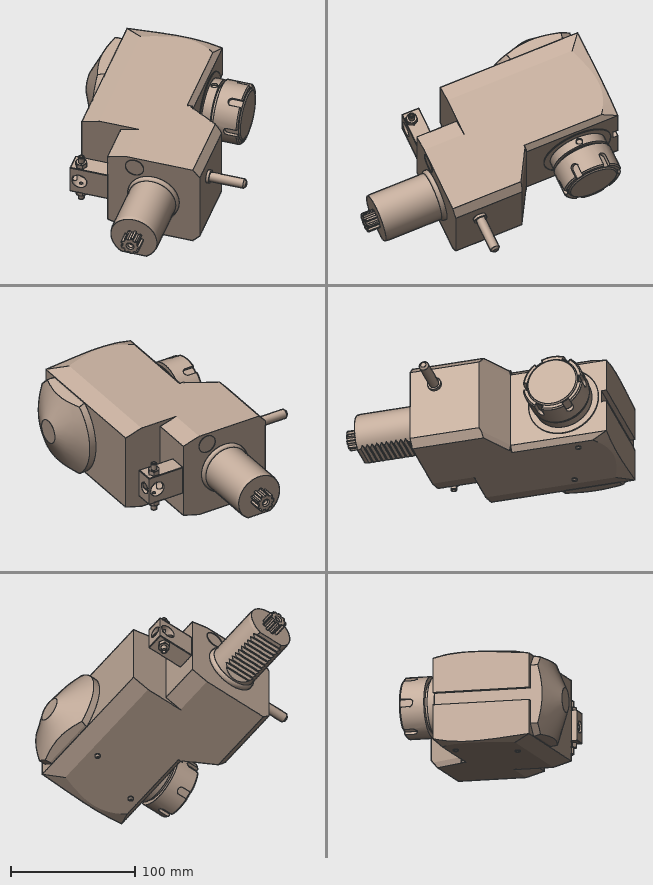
import cadquery as cq
import math


HALF_HEIGHT = 37.5
BACK_Y = 156.0
HEAD_LEFT = -71.8
HEAD_RIGHT = 8.8
BASE_HALF_WIDTH = 39.0
STEP_Y = 35.0
SLANT_START_Y = 58.0
SLANT_END_Y = 75.3
LEFT_BEVEL = (15.1, 4.4)
BASE_RIGHT_BEVEL = (6.0, 6.5)
HEAD_RIGHT_BEVEL = (4.2, 4.4)
SLANT_BEVEL = (1.3, 4.4)
BACK_SLOPE = 15
CROWN_X = -18.6
CROWN_DROP = 0.9
SHOULDER_DROP = 3.0
CORNER_DROP = 4.4
BACK_SLOT_HEIGHT = 10.0
BACK_SLOT_DEPTH = 4.2
SPINDLE_Y = 120.0

CAP_TIP_X = -92.0
CAP_RIM_X = -77.7
CAP_TIP_R = 10.0
CAP_R = 40.0
CAP_FLAT_Z = 32.6
CAP_FLAT_WIDTH = 1.8
CAP_FLAT_SLOPE = 0.2
CAP_CORNER = 8.3
CAP_CORNER_HEIGHT = 32.2

FLANGE_R = 29.3
FLANGE_X = 9.6
COLLAR_R = 24.0
COLLAR_X = 17.0
NECK_R = 21.0
NUT_START_X = 19.7
NUT_R = 25.0
NUT_FACE_X = 40.5
NUT_BREAK = 1.0
COLLET_END_X = 41.6
COLLET_R = 21.2
COLLET_BREAK = 1.0
NUT_SLOTS = 6
NUT_SLOT_WIDTH = 6.4
NUT_SLOT_START_X = 29.0
NUT_SLOT_DEPTH = 3.0
PIN_HOLE_R = 2.6
PIN_HOLE_X = 13.4
PIN_HOLE_DEPTH = 2.2

SHANK_R = 20.0
SHANK_LENGTH = 52.8
SHANK_COLLAR_R = 21.7
SHANK_COLLAR_LENGTH = 4.0
SHANK_COLLAR_RIM = 1.3
SHANK_END_BREAK = (0.5, 2.8)
RACK_Z = -16.5
RACK_RAMP_Y = -8.8
FIRST_GROOVE_Y = -11.5
LAST_GROOVE_Y = -47.7
GROOVE_COUNT = 10
GROOVE_DEPTH = 1.86

SPLINE_TIP_Y = -63.0
SPLINE_TEETH = 9
SPLINE_R = 8.0
SPLINE_ROOT_R = 6.4
TOOTH_TIP_SHARE = 0.3
TOOTH_ROOT_SHARE = 0.6
SPLINE_TIP_BREAK = 0.7
CENTRE_HOLE_R = 2.2
CENTRE_SINK_R = 3.3
CENTRE_HOLE_DEPTH = 4.4

PIN_Y = 20.8
PIN_Z = 15.8
PIN_R = 4.0
PIN_END_X = 71.6
PIN_TIP_BREAK = 1.8
PIN_SEAT_R = 5.5
PIN_SEAT_END_X = 41.5

BLOCK_LEFT = -71.0
BLOCK_FRONT_Y = 0.9
BLOCK_BACK_Y = 15.8
BLOCK_HALF_HEIGHT = 12.5
BLOCK_BREAK = 0.5
PORT_X = -63.0
FRONT_PORT_R = 6.4
FRONT_PORT_DEPTH = 12.7
SIDE_PORT_R = 4.8
SIDE_PORT_Y = 7.7
SIDE_PORT_DEPTH = 26.3
CHANNEL_R = 1.0
SCREW_Y = 6.1
SCREW_R = 2.5
SCREW_HALF_LENGTH = 22.1
SCREW_BREAK = 0.7
SCREW_BORE_R = 1.3
HEX_ACROSS_FLATS = 8.3
HEX_HEIGHT = 4.0
HEX_TURN = 30
HEX_BREAK = 0.7

PLUG_X = -16.2
PLUG_Z = 27.4
PLUG_R = 7.7
PLUG_RECESS = 0.5
NIPPLES = ((-49.5, 111.7), (-2.6, 129.0))
NIPPLE_R = 2.2
NIPPLE_BASE_HEIGHT = 0.9
NIPPLE_TIP_R = 0.7
NIPPLE_HEIGHT = 1.8


def both_sides(solid):
    """The solid together with its mirror image below z = 0."""
    return solid.union(solid.mirror("XY"))


def x_cylinder(radius, x_start, x_end, y, z):
    return (
        cq.Workplane("YZ", origin=(x_start, y, z)).circle(radius).extrude(x_end - x_start)
    )


def edge_bevel(face_x, inward, bevel, y_start, y_end):
    """Wedges removing the upper and lower long edges of a side face; inward is +1 or -1 in X."""
    width, drop = bevel
    wedge = (
        cq.Workplane("XZ", origin=(0, y_start, 0))
        .moveTo(face_x, HALF_HEIGHT)
        .lineTo(face_x + inward * width, HALF_HEIGHT)
        .lineTo(face_x, HALF_HEIGHT - drop)
        .close()
        .extrude(y_start - y_end)
    )
    return both_sides(wedge)


def slant_bevel():
    """Narrow wedges along the upper and lower edges of the slanted shoulder."""
    run_x = BASE_HALF_WIDTH - HEAD_RIGHT
    run_y = SLANT_START_Y - SLANT_END_Y
    length = math.hypot(run_x, run_y)
    width, drop = SLANT_BEVEL
    across = cq.Plane(
        origin=(HEAD_RIGHT, SLANT_END_Y, 0),
        xDir=(run_y, -run_x, 0),
        normal=(run_x, run_y, 0),
    )
    wedge = (
        cq.Workplane(across)
        .moveTo(0, HALF_HEIGHT)
        .lineTo(width, HALF_HEIGHT)
        .lineTo(0, HALF_HEIGHT - drop)
        .close()
        .extrude(length)
    )
    return both_sides(wedge)


def back_relief():
    """Crowned, gently sloping cut over the rear upper and lower edges of the head."""
    slope = math.radians(BACK_SLOPE)
    sweep = cq.Plane(
        origin=(0, BACK_Y, 0),
        xDir=(1, 0, 0),
        normal=(0, -math.cos(slope), math.sin(slope)),
    )
    shoulder_x = HEAD_LEFT + LEFT_BEVEL[0]
    corner_v = (HALF_HEIGHT - CORNER_DROP) * math.cos(slope)
    shoulder_v = (HALF_HEIGHT - SHOULDER_DROP) * math.cos(slope)
    crown_v = (HALF_HEIGHT - CROWN_DROP) * math.cos(slope)
    crowned_curve = [(shoulder_x, shoulder_v), (CROWN_X, crown_v), (HEAD_RIGHT, corner_v)]
    above = HALF_HEIGHT + CORNER_DROP
    cutter = (
        cq.Workplane(sweep)
        .moveTo(HEAD_LEFT, corner_v)
        .spline(crowned_curve, includeCurrent=True)
        .lineTo(HEAD_RIGHT, above)
        .lineTo(HEAD_LEFT, above)
        .close()
        .extrude(BACK_Y - STEP_Y)
    )
    return both_sides(cutter)


def make_housing():
    outline = [
        (-BASE_HALF_WIDTH, 0),
        (BASE_HALF_WIDTH, 0),
        (BASE_HALF_WIDTH, SLANT_START_Y),
        (HEAD_RIGHT, SLANT_END_Y),
        (HEAD_RIGHT, BACK_Y),
        (HEAD_LEFT, BACK_Y),
        (HEAD_LEFT, STEP_Y),
        (-BASE_HALF_WIDTH, STEP_Y),
    ]
    body = cq.Workplane("XY").polyline(outline).close().extrude(HALF_HEIGHT, both=True)
    body = body.cut(edge_bevel(HEAD_LEFT, 1, LEFT_BEVEL, STEP_Y, BACK_Y))
    body = body.cut(edge_bevel(-BASE_HALF_WIDTH, 1, LEFT_BEVEL, 0, STEP_Y))
    body = body.cut(edge_bevel(BASE_HALF_WIDTH, -1, BASE_RIGHT_BEVEL, 0, SLANT_END_Y))
    body = body.cut(edge_bevel(HEAD_RIGHT, -1, HEAD_RIGHT_BEVEL, SLANT_END_Y, BACK_Y))
    body = body.cut(slant_bevel())
    body = body.cut(back_relief())

    back_slot = cq.Workplane("XY").box(
        HEAD_RIGHT - HEAD_LEFT, BACK_SLOT_DEPTH, BACK_SLOT_HEIGHT, centered=(False, False, True)
    )
    body = body.cut(back_slot.translate((HEAD_LEFT, BACK_Y - BACK_SLOT_DEPTH, 0)))

    plug = cq.Workplane("XZ", origin=(PLUG_X, 0, PLUG_Z)).circle(PLUG_R).extrude(-PLUG_RECESS)
    return body.cut(plug)


def make_cap():
    profile = [
        (HEAD_LEFT, 0),
        (CAP_TIP_X, 0),
        (CAP_TIP_X, CAP_TIP_R),
        (CAP_RIM_X, CAP_R),
        (HEAD_LEFT, CAP_R),
    ]
    cone = cq.Workplane("XY").polyline(profile).close().revolve(360, (0, 0, 0), (1, 0, 0))

    slope_start = HEAD_LEFT - CAP_FLAT_WIDTH
    tip_z = CAP_FLAT_Z - CAP_FLAT_SLOPE * (slope_start - CAP_TIP_X)
    upper_flats = [
        (HEAD_LEFT, CAP_FLAT_Z),
        (slope_start, CAP_FLAT_Z),
        (CAP_TIP_X, tip_z),
    ]
    lower_flats = [(x, -z) for x, z in reversed(upper_flats)]
    side_limit = (
        cq.Workplane("XZ").polyline(upper_flats + lower_flats).close().extrude(CAP_R, both=True)
    )

    flat_y = BACK_Y - BACK_SLOT_DEPTH - SPINDLE_Y
    outline = [
        (-CAP_R, CAP_R),
        (flat_y - CAP_CORNER - (CAP_R - CAP_CORNER_HEIGHT), CAP_R),
        (flat_y, CAP_CORNER_HEIGHT - CAP_CORNER),
    ]
    mirrored = [(y, -z) for y, z in reversed(outline)]
    back_limit = (
        cq.Workplane("YZ", origin=(CAP_TIP_X, 0, 0))
        .polyline(outline + mirrored)
        .close()
        .extrude(HEAD_LEFT - CAP_TIP_X)
    )
    return cone.intersect(side_limit).intersect(back_limit).translate((0, SPINDLE_Y, 0))


def make_spindle_nose():
    profile = [
        (HEAD_RIGHT, 0),
        (HEAD_RIGHT, FLANGE_R),
        (FLANGE_X, FLANGE_R),
        (FLANGE_X, COLLAR_R),
        (COLLAR_X, COLLAR_R),
        (COLLAR_X, NECK_R),
        (NUT_START_X, NECK_R),
        (NUT_START_X, NUT_R),
        (NUT_FACE_X - NUT_BREAK, NUT_R),
        (NUT_FACE_X, NUT_R - NUT_BREAK),
        (NUT_FACE_X, COLLET_R),
        (COLLET_END_X, COLLET_R - COLLET_BREAK),
        (COLLET_END_X, 0),
    ]
    nose = cq.Workplane("XY").polyline(profile).close().revolve(360, (0, 0, 0), (1, 0, 0))

    half = NUT_SLOT_WIDTH / 2
    slot = (
        cq.Workplane("XY", origin=(0, 0, NUT_R - NUT_SLOT_DEPTH))
        .moveTo(NUT_FACE_X, half)
        .lineTo(NUT_SLOT_START_X + half, half)
        .threePointArc((NUT_SLOT_START_X, 0), (NUT_SLOT_START_X + half, -half))
        .lineTo(NUT_FACE_X, -half)
        .close()
        .extrude(2 * NUT_SLOT_DEPTH)
    )
    step = 360 / NUT_SLOTS
    for index in range(NUT_SLOTS):
        nose = nose.cut(slot.rotate((0, 0, 0), (1, 0, 0), (index + 0.5) * step))

    pin_hole = (
        cq.Workplane("XY", origin=(PIN_HOLE_X, 0, COLLAR_R - PIN_HOLE_DEPTH))
        .circle(PIN_HOLE_R)
        .extrude(2 * PIN_HOLE_DEPTH)
    )
    return nose.cut(pin_hole).translate((0, SPINDLE_Y, 0))


def make_shank():
    radial_break, axial_break = SHANK_END_BREAK
    shank = (
        cq.Workplane("XY")
        .lineTo(SHANK_COLLAR_R, 0)
        .lineTo(SHANK_COLLAR_R, -SHANK_COLLAR_RIM)
        .tangentArcPoint((SHANK_R, -SHANK_COLLAR_LENGTH), relative=False)
        .lineTo(SHANK_R, -SHANK_LENGTH + axial_break)
        .lineTo(SHANK_R - radial_break, -SHANK_LENGTH)
        .lineTo(0, -SHANK_LENGTH)
        .close()
        .revolve(360, (0, 0, 0), (0, 1, 0))
    )

    ramp = SHANK_R + RACK_Z
    flat = [
        (RACK_RAMP_Y, RACK_Z),
        (RACK_RAMP_Y + ramp, -SHANK_R),
        (-SHANK_LENGTH, -SHANK_R),
        (-SHANK_LENGTH, RACK_Z),
    ]
    shank = shank.cut(cq.Workplane("YZ").polyline(flat).close().extrude(SHANK_R, both=True))
    pitch = (LAST_GROOVE_Y - FIRST_GROOVE_Y) / (GROOVE_COUNT - 1)
    for index in range(GROOVE_COUNT):
        centre_y = FIRST_GROOVE_Y + index * pitch
        groove = [
            (centre_y - GROOVE_DEPTH, RACK_Z),
            (centre_y, RACK_Z + GROOVE_DEPTH),
            (centre_y + GROOVE_DEPTH, RACK_Z),
        ]
        shank = shank.cut(
            cq.Workplane("YZ").polyline(groove).close().extrude(SHANK_R, both=True)
        )
    return shank


def make_spline():
    length = -SHANK_LENGTH - SPLINE_TIP_Y
    tooth_angle = 2 * math.pi / SPLINE_TEETH
    half_tip = TOOTH_TIP_SHARE / 2
    half_root = TOOTH_ROOT_SHARE / 2
    corners = (
        (-half_root, SPLINE_ROOT_R),
        (-half_tip, SPLINE_R),
        (half_tip, SPLINE_R),
        (half_root, SPLINE_ROOT_R),
    )
    outline = []
    for tooth in range(SPLINE_TEETH):
        for fraction, radius in corners:
            angle = (tooth + fraction) * tooth_angle
            outline.append((radius * math.cos(angle), radius * math.sin(angle)))
    spline = (
        cq.Workplane("XZ", origin=(0, -SHANK_LENGTH, 0)).polyline(outline).close().extrude(length)
    )
    envelope = (
        cq.Workplane("XZ", origin=(0, -SHANK_LENGTH, 0))
        .circle(SPLINE_R)
        .extrude(length)
        .faces("<Y")
        .chamfer(SPLINE_TIP_BREAK)
    )
    sink_depth = CENTRE_SINK_R - CENTRE_HOLE_R
    centre_hole = [
        (0, SPLINE_TIP_Y),
        (CENTRE_SINK_R, SPLINE_TIP_Y),
        (CENTRE_HOLE_R, SPLINE_TIP_Y + sink_depth),
        (CENTRE_HOLE_R, SPLINE_TIP_Y + CENTRE_HOLE_DEPTH),
        (0, SPLINE_TIP_Y + CENTRE_HOLE_DEPTH),
    ]
    hole = cq.Workplane("XY").polyline(centre_hole).close().revolve(360, (0, 0, 0), (0, 1, 0))
    return spline.intersect(envelope).cut(hole)


def make_coolant_pin():
    pin = x_cylinder(PIN_R, BASE_HALF_WIDTH, PIN_END_X, PIN_Y, PIN_Z)
    pin = pin.faces(">X").chamfer(PIN_TIP_BREAK)
    return pin.union(x_cylinder(PIN_SEAT_R, BASE_HALF_WIDTH, PIN_SEAT_END_X, PIN_Y, PIN_Z))


def make_coolant_block():
    length = -BASE_HALF_WIDTH - BLOCK_LEFT
    depth = BLOCK_BACK_Y - BLOCK_FRONT_Y
    block = (
        cq.Workplane("XY")
        .box(length, depth, 2 * BLOCK_HALF_HEIGHT, centered=(False, False, True))
        .translate((BLOCK_LEFT, BLOCK_FRONT_Y, 0))
    )
    block = block.faces("<X or <Y").edges("|X or |Y").chamfer(BLOCK_BREAK)
    front_port = (
        cq.Workplane("XZ", origin=(PORT_X, BLOCK_FRONT_Y, 0))
        .circle(FRONT_PORT_R)
        .extrude(-FRONT_PORT_DEPTH)
    )
    side_port_end = BLOCK_LEFT + SIDE_PORT_DEPTH
    block = block.cut(front_port)
    block = block.cut(x_cylinder(SIDE_PORT_R, BLOCK_LEFT, side_port_end, SIDE_PORT_Y, 0))
    block = block.cut(x_cylinder(CHANNEL_R, BLOCK_LEFT, -BASE_HALF_WIDTH, SIDE_PORT_Y, 0))

    hexagon = (
        cq.Workplane("XY", origin=(PORT_X, SCREW_Y, BLOCK_HALF_HEIGHT))
        .polygon(6, HEX_ACROSS_FLATS, circumscribed=True)
        .extrude(HEX_HEIGHT)
        .rotate((PORT_X, SCREW_Y, 0), (PORT_X, SCREW_Y, 1), HEX_TURN)
    )
    hexagon_rounding = (
        cq.Workplane("XY", origin=(PORT_X, SCREW_Y, BLOCK_HALF_HEIGHT))
        .circle(HEX_ACROSS_FLATS / math.sqrt(3))
        .extrude(HEX_HEIGHT)
        .faces(">Z")
        .chamfer(HEX_BREAK)
    )
    hexagon = hexagon.intersect(hexagon_rounding)
    screw = (
        cq.Workplane("XY", origin=(PORT_X, SCREW_Y, BLOCK_HALF_HEIGHT))
        .circle(SCREW_R)
        .extrude(SCREW_HALF_LENGTH - BLOCK_HALF_HEIGHT)
        .faces(">Z")
        .chamfer(SCREW_BREAK)
    )
    screw_bore = (
        cq.Workplane("XY", origin=(PORT_X, SCREW_Y, 0))
        .circle(SCREW_BORE_R)
        .extrude(SCREW_HALF_LENGTH, both=True)
    )
    return block.union(both_sides(hexagon.union(screw))).cut(screw_bore)


def make_nipple(x, y):
    """Small stepped nipple under the housing, ending in a cone."""
    profile = [
        (0, 0),
        (NIPPLE_R, 0),
        (NIPPLE_R, -NIPPLE_BASE_HEIGHT),
        (NIPPLE_TIP_R, -NIPPLE_HEIGHT),
        (0, -NIPPLE_HEIGHT),
    ]
    nipple = cq.Workplane("XZ").polyline(profile).close().revolve(360, (0, 0, 0), (0, 1, 0))
    return nipple.translate((x, y, -HALF_HEIGHT))


result = make_housing()
for component in (
    make_cap(),
    make_spindle_nose(),
    make_shank(),
    make_spline(),
    make_coolant_pin(),
    make_coolant_block(),
):
    result = result.union(component)
for nipple_x, nipple_y in NIPPLES:
    result = result.union(make_nipple(nipple_x, nipple_y))